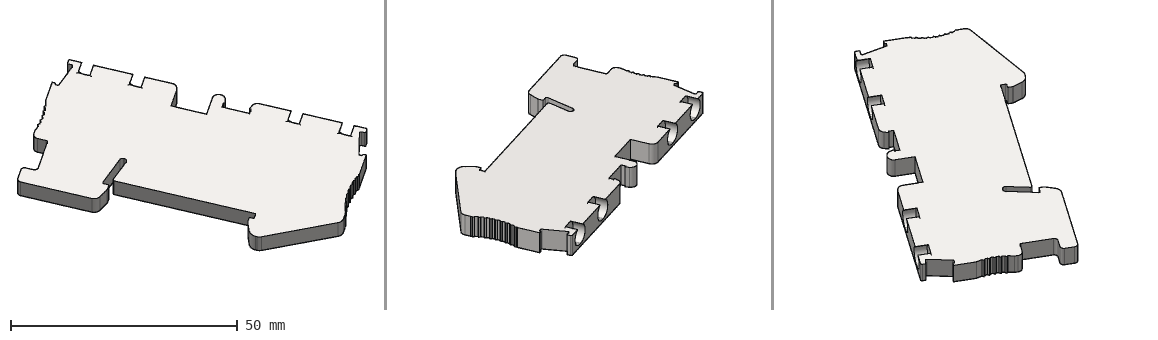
import cadquery as cq
import math

overall_length = 72.2
height = 35.25
thickness = 5.1
right_wall = 72.15
lean_angle = 15
lean = math.tan(math.radians(lean_angle))

lip_radius = 0.2
root_radius = 0.35
end_radius = 0.65
side_radius = 0.9

hook_inset = 1.8
hook_underside = 34.0
hook_root = 3.25
ledge_height = 28.25
ledge_width = 0.7
pit_left = 0.9
ledge_pit = 27.8
pit_corner = hook_root - (hook_underside - ledge_pit) * lean

window_left = 27.0
window_right = 35.2
window_floor = 29.25
latch_top_right = 37.8
latch_tip = 38.35
latch_neck = 37.9
tip_height = 33.2
recess_floor = 32.1
recess_right = 44.3
facing_tip = 43.85
facing_top = 44.5
shoulder_radius = 1.45

left_grip_top = 23.1
left_grip_bottom = 14.45
left_grip_depth = 0.7
left_tooth_count = 5
left_tooth_length = 0.35
right_grip_top = 22.8
right_grip_bottom = 11.4
right_grip_depth = 1.15
right_tooth_count = 9
tooth_pitch = 1.3
tooth_base = 0.7

side_notch_depth = 3.55
side_notch_top = 12.5
side_notch_bottom = 4.05
grip_heel_radius = 1.15
foot_ledge = 4.6
foot_flank_angle = 23
foot_slope = math.tan(math.radians(foot_flank_angle))
left_foot_tip = 19.85
foot_flank_height = 3.4
left_foot_radius = 1.7
left_foot_toe = left_foot_tip - foot_flank_height * foot_slope

slot_top = 12.5
slot_left = 18.3
slot_width = 1.6
rail_seat = 6.0
slot_left_top = slot_left + (slot_top - foot_ledge) * lean
slot_right_bottom = slot_left + slot_width + (rail_seat - foot_ledge) * lean
slot_right_top = slot_left_top + slot_width

seat_right = 53.15
right_foot_tip = 52.1
right_foot_toe = right_foot_tip + foot_flank_height * foot_slope
right_foot_radius = 2.0
slope_start = 55.7
slope_angle = 29
slope_end_height = (right_wall - slope_start) * math.tan(math.radians(slope_angle))
slope_radius = 1.6

groove_offsets = (6.15, 17.9)
groove_length = 2.95
groove_opening = 2.7
groove_floor_width = 0.6
groove_radius = 2.3


def rounded_outline(corners):
    """Closed wire through (x, y, radius) corners, each rounded by its radius."""
    rounded = []
    count = len(corners)
    for i, (x, y, radius) in enumerate(corners):
        corner = cq.Vector(x, y)
        before = (cq.Vector(*corners[i - 1][:2]) - corner).normalized()
        after = (cq.Vector(*corners[(i + 1) % count][:2]) - corner).normalized()
        half_angle = before.getAngle(after) / 2
        reach = radius / math.tan(half_angle)
        bulge = radius / math.sin(half_angle) - radius
        middle = corner + (before + after).normalized() * bulge if radius else corner
        rounded.append((corner + before * reach, middle, corner + after * reach, radius))
    path = cq.Workplane("XY").moveTo(*rounded[0][2].toTuple()[:2])
    for start, middle, end, radius in rounded[1:] + rounded[:1]:
        path = path.lineTo(start.x, start.y)
        if radius:
            path = path.threePointArc((middle.x, middle.y), (end.x, end.y))
    return path.wire()


def end_hook():
    """Corners of the left marker hook, from the end wall up to the upper edge."""
    return [
        (0, ledge_height, 0),
        (ledge_width, ledge_height, lip_radius),
        (pit_left, ledge_pit, lip_radius),
        (pit_corner, ledge_pit, root_radius),
        (hook_root, hook_underside, root_radius),
        (hook_inset, hook_underside, lip_radius),
        (hook_inset, height, root_radius),
    ]


def body():
    left_hook = end_hook()
    right_hook = [(right_wall - x, y, radius) for x, y, radius in reversed(left_hook)]
    upper_edge = [
        (window_left, height, shoulder_radius),
        (window_left, window_floor, 0),
        (window_right, window_floor, 0),
        (window_right, height, shoulder_radius),
        (latch_top_right, height, shoulder_radius),
        (latch_tip, tip_height, 0),
        (latch_neck, tip_height, 0),
        (latch_neck, recess_floor, 0),
        (recess_right, recess_floor, 0),
        (recess_right, tip_height, 0),
        (facing_tip, tip_height, 0),
        (facing_top, height, shoulder_radius),
    ]
    lower_edge = [
        (right_wall, slope_end_height, slope_radius),
        (slope_start, 0, right_foot_radius),
        (right_foot_toe, 0, right_foot_radius),
        (right_foot_tip, foot_flank_height, end_radius),
        (right_foot_tip, foot_ledge, lip_radius),
        (seat_right, foot_ledge, lip_radius),
        (seat_right, rail_seat, 0),
        (slot_right_bottom, rail_seat, root_radius),
        (slot_right_top, slot_top, end_radius),
        (slot_left_top, slot_top, end_radius),
        (slot_left, foot_ledge, root_radius),
        (left_foot_tip, foot_ledge, lip_radius),
        (left_foot_tip, foot_flank_height, end_radius),
        (left_foot_toe, 0, left_foot_radius),
        (0, 0, side_radius),
        (0, side_notch_bottom, side_radius),
        (side_notch_depth, side_notch_bottom, side_radius),
        (side_notch_depth, side_notch_top, root_radius),
        (0, side_notch_top, grip_heel_radius),
    ]
    return rounded_outline(left_hook + upper_edge + right_hook + lower_edge).extrude(thickness)


def arc_radius(half_chord, depth):
    """Radius of the arc that dips by depth over a chord."""
    return (half_chord**2 + depth**2) / (2 * depth)


def arc_rise(radius, offset):
    """How far the arc has risen from its deepest point at an offset along the chord."""
    return radius - math.sqrt(radius**2 - offset**2)


def tooth_offsets(count):
    """Places of evenly pitched teeth about the middle of their row."""
    return [(i - (count - 1) / 2) * tooth_pitch for i in range(count)]


def add_grip(part, wall, inward, top, bottom, depth, tooth_count, tooth_length):
    """Hollow an end wall with a shallow arc and stand a row of pointed teeth on it."""
    middle = (top + bottom) / 2
    deepest = wall + inward * depth
    radius = arc_radius((top - bottom) / 2, depth)
    hollow = (
        cq.Workplane("XY")
        .moveTo(wall, bottom)
        .threePointArc((deepest, middle), (wall, top))
        .close()
        .extrude(thickness)
    )
    part = part.cut(hollow)
    for offset in tooth_offsets(tooth_count):
        root = deepest - inward * arc_rise(radius, offset)
        tip = root - inward * tooth_length
        buried = root + inward * tooth_length
        low = middle + offset - tooth_base / 2
        high = middle + offset + tooth_base / 2
        outline = [(tip, middle + offset), (root, high), (buried, high), (buried, low), (root, low)]
        part = part.union(cq.Workplane("XY").polyline(outline).close().extrude(thickness))
    return part


def marker_groove(centre_x):
    """Channel along Y: two round sides joined by a narrow flat floor, narrowed at the top face."""
    half_opening = groove_opening / 2
    half_floor = groove_floor_width / 2
    axis_depth = math.sqrt(groove_radius**2 - (half_opening - half_floor) ** 2)
    axis_height = thickness - axis_depth
    widest = half_floor + groove_radius
    floor = axis_height - groove_radius
    return (
        cq.Workplane("XZ", origin=(centre_x, height, 0))
        .moveTo(-half_opening, thickness)
        .threePointArc((-widest, axis_height), (-half_floor, floor))
        .lineTo(half_floor, floor)
        .threePointArc((widest, axis_height), (half_opening, thickness))
        .close()
        .extrude(groove_length)
    )


right_grip_radius = arc_radius((right_grip_top - right_grip_bottom) / 2, right_grip_depth)
end_tooth_rise = arc_rise(right_grip_radius, tooth_offsets(right_tooth_count)[-1])
right_tooth_length = overall_length - (right_wall - right_grip_depth + end_tooth_rise)

result = body()
result = add_grip(
    result,
    wall=0,
    inward=1,
    top=left_grip_top,
    bottom=left_grip_bottom,
    depth=left_grip_depth,
    tooth_count=left_tooth_count,
    tooth_length=left_tooth_length,
)
result = add_grip(
    result,
    wall=right_wall,
    inward=-1,
    top=right_grip_top,
    bottom=right_grip_bottom,
    depth=right_grip_depth,
    tooth_count=right_tooth_count,
    tooth_length=right_tooth_length,
)
for offset in groove_offsets:
    result = result.cut(marker_groove(offset))
    result = result.cut(marker_groove(right_wall - offset))